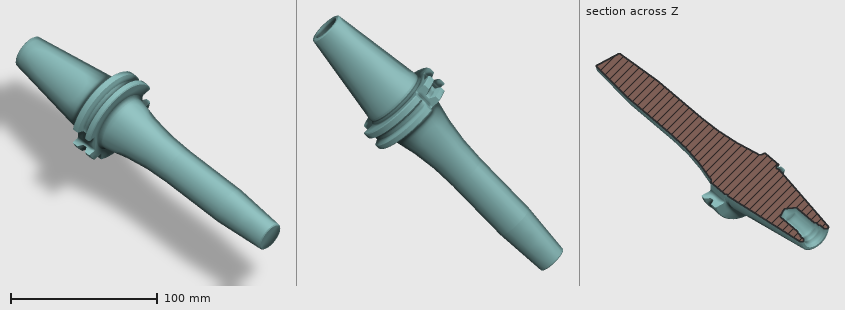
import cadquery as cq
import math

total_length = 228.2
gauge_start = 67.3
gauge_end = 68.7
neck_start = 69.8
flange_start = 71.2
flange_end = 87.0
flare_start = 90.2
shank_start = 141.7
nose_start = 190.0

gauge_radius = 22.1
taper_ratio = 7 / 24
taper_end_radius = gauge_radius - gauge_start * taper_ratio / 2
neck_radius = 21.5
neck_root_radius = 22.8
flange_radius = 31.7
flange_root_radius = 22.4
flare_radius = 20.5
root_arc_sag = 0.5
shank_radius = 13.5
nose_radius = 10.5
end_chamfer = 0.7
flange_chamfer = 0.7

groove_center = 79.5
groove_width = 7.0
groove_depth = 3.7
groove_wall_angle = math.radians(30)
groove_floor_width = groove_width - 2 * groove_depth * math.tan(groove_wall_angle)

slot_width = 16.0
slot_corner_radius = 1.1
slot_floor_plus_y = 22.5
slot_floor_minus_y = 25.0
notch_offset = 18.3
notch_corner_radius = 1.0

mouth_radius = 9.8
mouth_depth = 1.4
pilot_radius = 8.7
pilot_depth = 5.2
step_radius = 8.0
step_depth = 9.1
thread_radius = 7.0
thread_depth = 29.7
drill_tip_angle = math.radians(59)


def make_body():
    """Revolve the tapered shank, flange, flare and nose about the X axis."""
    flare_run = shank_start - flare_start
    flare_rise = flare_radius - shank_radius
    arc_radius = (flare_run**2 + flare_rise**2) / (2 * flare_rise)
    half_run = flare_run / 2
    arc_mid_height = shank_radius + arc_radius - math.sqrt(arc_radius**2 - half_run**2)

    root_arc_mid = (
        (flange_end + flare_start) / 2 - root_arc_sag,
        (flange_root_radius + flare_radius) / 2 - root_arc_sag,
    )

    profile = (
        cq.Workplane("XY")
        .moveTo(0, 0)
        .lineTo(0, taper_end_radius - end_chamfer)
        .lineTo(end_chamfer, taper_end_radius + end_chamfer * taper_ratio / 2)
        .lineTo(gauge_start, gauge_radius)
        .lineTo(gauge_end, gauge_radius)
        .lineTo(neck_start, neck_radius)
        .lineTo(flange_start, neck_root_radius)
        .lineTo(flange_start, flange_radius - flange_chamfer)
        .lineTo(flange_start + flange_chamfer, flange_radius)
        .lineTo(groove_center - groove_width / 2, flange_radius)
        .lineTo(groove_center - groove_floor_width / 2, flange_radius - groove_depth)
        .lineTo(groove_center + groove_floor_width / 2, flange_radius - groove_depth)
        .lineTo(groove_center + groove_width / 2, flange_radius)
        .lineTo(flange_end - flange_chamfer, flange_radius)
        .lineTo(flange_end, flange_radius - flange_chamfer)
        .lineTo(flange_end, flange_root_radius)
        .threePointArc(root_arc_mid, (flare_start, flare_radius))
        .threePointArc((shank_start - half_run, arc_mid_height), (shank_start, shank_radius))
        .lineTo(nose_start, shank_radius)
        .lineTo(total_length - end_chamfer, nose_radius)
        .lineTo(total_length, nose_radius - end_chamfer)
        .lineTo(total_length, 0)
        .close()
    )
    return profile.revolve(360, (0, 0, 0), (1, 0, 0))


def make_slot(side, floor):
    """Cutter for a drive slot through the flange; side is +1 or -1 along Y."""
    length = flange_end - flange_start
    depth = flange_radius - floor
    return (
        cq.Workplane("XY")
        .box(length, depth, slot_width)
        .edges("|X and " + ("<Y" if side > 0 else ">Y"))
        .fillet(slot_corner_radius)
        .translate((flange_start + length / 2, side * (floor + depth / 2), 0))
    )


def make_notch():
    """Cutter for the orientation notch at the -Y, -Z corner of the flange."""
    length = flange_end - flange_start
    size = flange_radius - notch_offset
    center = -(notch_offset + size / 2)
    return (
        cq.Workplane("XY")
        .box(length, size, size)
        .edges("|X and >Y and >Z")
        .fillet(notch_corner_radius)
        .translate((flange_start + length / 2, center, center))
    )


def make_bore():
    """Cutter for the stepped blind bore with its conical drill tip."""
    pilot_shoulder = pilot_radius - step_radius
    step_shoulder = step_radius - thread_radius
    tip_depth = thread_depth + thread_radius / math.tan(drill_tip_angle)
    profile = (
        cq.Workplane("XY")
        .moveTo(0, 0)
        .lineTo(0, mouth_radius)
        .lineTo(mouth_depth, pilot_radius)
        .lineTo(pilot_depth, pilot_radius)
        .lineTo(pilot_depth + pilot_shoulder, step_radius)
        .lineTo(step_depth, step_radius)
        .lineTo(step_depth + step_shoulder, thread_radius)
        .lineTo(thread_depth, thread_radius)
        .lineTo(tip_depth, 0)
        .close()
    )
    return profile.revolve(360, (0, 0, 0), (1, 0, 0))


result = (
    make_body()
    .cut(make_slot(1, slot_floor_plus_y))
    .cut(make_slot(-1, slot_floor_minus_y))
    .cut(make_notch())
    .cut(make_bore())
)